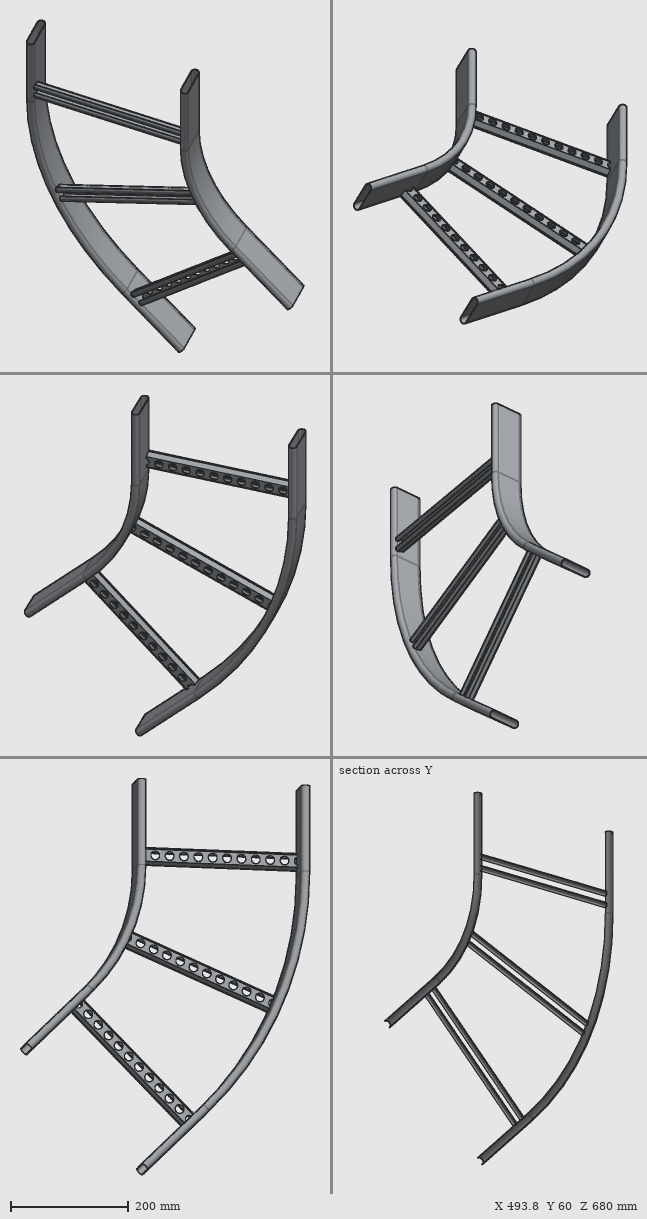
import cadquery as cq
import math


overall_height = 680.0
bend_angle = 45.0
outer_bend_radius = 600.0
inner_bend_radius = 300.0

rail_thickness = 15.0
rail_depth = 60.0
rail_wall = 1.5

rung_width = 31.0
rung_depth = 16.0
rung_front_gap = 4.0
rung_sheet = 1.5
lip_width = 10.0
lip_bend_radius = 3.5
lip_leg = 1.5
flange_lean = 20.0
rung_hole_diameter = 15.0
rung_hole_span = 275.0
rung_hole_count = 12
rung_tangent_offset = 25.0

bend_sine = math.sin(math.radians(bend_angle))
bend_cosine = math.cos(math.radians(bend_angle))
straight_length = (overall_height - outer_bend_radius * bend_sine) / (1 + bend_sine)
outer_rail_radius = outer_bend_radius - rail_thickness / 2
inner_rail_radius = inner_bend_radius + rail_thickness / 2
rung_centre_radius = (outer_rail_radius + inner_rail_radius) / 2
rung_blank_length = outer_rail_radius - inner_rail_radius
rung_hole_pitch = rung_hole_span / (rung_hole_count - 1)


def point_on_bend(radius, angle):
    """X and Z of a point on the bend, with the angle measured from the upright end."""
    turn = math.radians(angle)
    return (-radius * math.cos(turn), -radius * math.sin(turn))


def rail_path(radius):
    """Centreline of a rail: straight, arc, straight."""
    arc_end_x, arc_end_z = point_on_bend(radius, bend_angle)
    tail_end = (arc_end_x + straight_length * bend_sine, arc_end_z - straight_length * bend_cosine)
    return (
        cq.Workplane("XZ")
        .moveTo(-radius, straight_length)
        .lineTo(-radius, 0)
        .threePointArc(point_on_bend(radius, bend_angle / 2), (arc_end_x, arc_end_z))
        .lineTo(*tail_end)
    )


def rail_bar(radius, inset):
    """Solid flat-oval bar along a rail centreline, shrunk all round by the inset."""
    return (
        cq.Workplane("XY", origin=(-radius, rail_depth / 2, straight_length))
        .slot2D(rail_depth - 2 * inset, rail_thickness - 2 * inset, 90)
        .sweep(rail_path(radius))
    )


def make_rail(radius):
    """Hollow flat-oval tube, open at both ends."""
    return rail_bar(radius, 0).cut(rail_bar(radius, rail_wall))


def rung_profile_half(side):
    """Half of the channel outline in Y and Z; side is 1 for the upper half and -1 for the lower half."""
    front = rung_front_gap
    back = front + rung_depth
    plate_inside = back - rung_sheet
    lip_top = rung_width / 2
    lip_bottom = lip_top - lip_width
    bend_y = front + lip_bend_radius
    outer_bend_z = lip_top - lip_bend_radius
    inner_bend_z = lip_bottom + lip_bend_radius
    inside_radius = lip_bend_radius - rung_sheet
    leg_end = bend_y + lip_leg
    lean = math.radians(flange_lean)
    inside_leg_end = leg_end - rung_sheet * math.tan(lean / 2)

    def flange_top(y):
        """Outside height of the leaning flange at a given Y."""
        return lip_top - (y - leg_end) * math.tan(lean)

    flange_height = rung_sheet / math.cos(lean)

    def point(y, z):
        return (y, side * z)

    def outer_bend_middle(radius):
        return point(bend_y - radius * math.sqrt(0.5), outer_bend_z + radius * math.sqrt(0.5))

    def inner_bend_middle(radius):
        return point(bend_y - radius * math.sqrt(0.5), inner_bend_z - radius * math.sqrt(0.5))

    return (
        cq.Workplane("YZ")
        .moveTo(back, 0)
        .lineTo(*point(back, flange_top(back)))
        .lineTo(*point(leg_end, lip_top))
        .lineTo(*point(bend_y, lip_top))
        .threePointArc(outer_bend_middle(lip_bend_radius), point(front, outer_bend_z))
        .lineTo(*point(front, inner_bend_z))
        .threePointArc(inner_bend_middle(lip_bend_radius), point(bend_y, lip_bottom))
        .lineTo(*point(leg_end, lip_bottom))
        .lineTo(*point(leg_end, lip_bottom + rung_sheet))
        .lineTo(*point(bend_y, lip_bottom + rung_sheet))
        .threePointArc(inner_bend_middle(inside_radius), point(front + rung_sheet, inner_bend_z))
        .lineTo(*point(front + rung_sheet, outer_bend_z))
        .threePointArc(outer_bend_middle(inside_radius), point(bend_y, lip_top - rung_sheet))
        .lineTo(*point(inside_leg_end, lip_top - rung_sheet))
        .lineTo(*point(plate_inside, flange_top(plate_inside) - flange_height))
        .lineTo(plate_inside, 0)
        .close()
    )


def rung_channel():
    """Channel along X, open towards -Y, with leaning flanges and rounded lips."""
    upper, lower = (
        rung_profile_half(side).extrude(rung_blank_length / 2, both=True) for side in (1, -1)
    )
    return upper.union(lower)


def rung_holes():
    """Row of round holes through the back plate only, centred on the rung."""
    plate_inside = rung_front_gap + rung_depth - rung_sheet
    return (
        cq.Workplane("XZ", origin=(0, plate_inside, 0))
        .rarray(rung_hole_pitch, 7, rung_hole_count, 1)
        .circle(rung_hole_diameter / 2)
        .extrude(-rung_sheet)
    )


def make_rung(angle, offset, blank):
    """Rung placed radially at a bend angle, shifted along the rail, with ends shaped to the rails."""
    placed = blank.translate((-rung_centre_radius, 0, offset)).rotate((0, 0, 0), (0, 1, 0), -angle)
    for radius in (outer_rail_radius, inner_rail_radius):
        placed = placed.cut(rail_bar(radius, 0))
    return placed


outer_rail = make_rail(outer_rail_radius)
inner_rail = make_rail(inner_rail_radius)

rung_blank = rung_channel().cut(rung_holes())
rung_stations = [
    (0, rung_tangent_offset),
    (bend_angle / 2, 0),
    (bend_angle, -rung_tangent_offset),
]
rungs = [make_rung(angle, offset, rung_blank) for angle, offset in rung_stations]

result = cq.Compound.makeCompound([outer_rail.val(), inner_rail.val(), *[rung.val() for rung in rungs]])